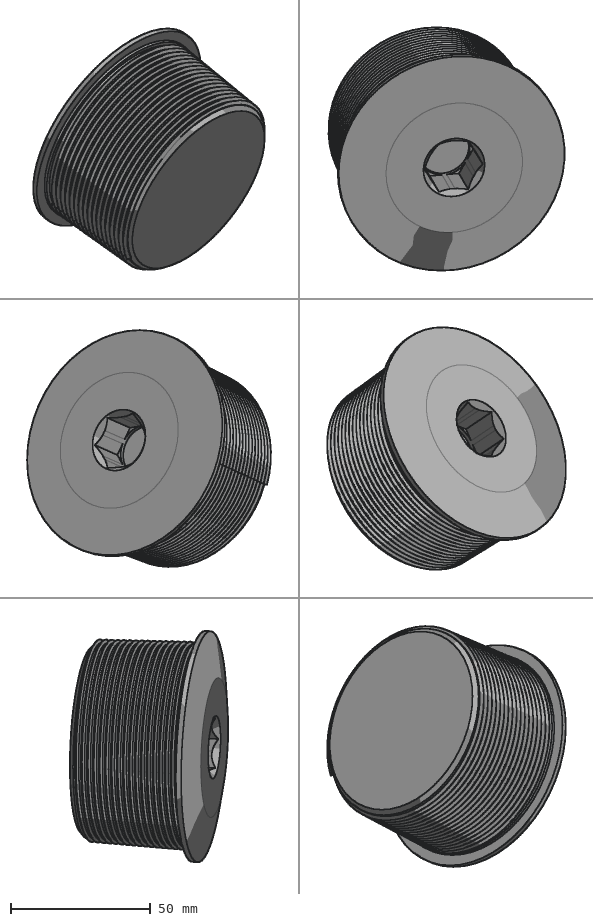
import cadquery as cq
import math

total_length = 46.1
flange_radius = 83 / 2
face_radius = 50.1 / 2
collar_radius = 75.3 / 2
cone_end = 3.7
flange_end = 5.65
collar_end = 6.8

thread_taper = math.atan(1 / 32)
thread_depth = 1.25
ridge_half_angle = math.radians(30)
ridge_embed = 0.25
thread_length = 37.35
thread_turns = 17
thread_pitch = thread_length / thread_turns
thread_end = 44.4
thread_end_angle = 108
root_radius_at_end = 35.1
chamfer_length = 1.5
end_radius = 33.5

hex_across_flats = 18.6
hex_depth = 15.8
drill_radius = 18.7 / 2
drill_depth = 17.4
mouth_radius = 22.5 / 2
mouth_half_angle = math.radians(37)


def root_radius(x):
    """Radius of the tapered thread core at position x."""
    return root_radius_at_end + (thread_end - x) * math.tan(thread_taper)


def make_body():
    chamfer_start = total_length - chamfer_length
    outline = [
        (0, 0),
        (0, face_radius),
        (cone_end, flange_radius),
        (flange_end, flange_radius),
        (flange_end, collar_radius),
        (collar_end, collar_radius),
        (collar_end, root_radius(collar_end)),
        (chamfer_start, root_radius(chamfer_start)),
        (total_length, end_radius),
        (total_length, 0),
    ]
    return cq.Workplane("XY").polyline(outline).close().revolve(360, (0, 0), (1, 0))


def make_thread_turn(first_x):
    """One turn of the ridge, which starts with its crest at first_x and winds toward -X."""
    core_radius = root_radius(first_x)
    base_radius = core_radius - ridge_embed
    half_width = (thread_depth + ridge_embed) * math.tan(ridge_half_angle)

    edges = []
    for radius, offset in (
        (base_radius, -half_width),
        (core_radius + thread_depth, 0),
        (base_radius, half_width),
    ):
        helix = cq.Wire.makeHelix(
            thread_pitch,
            thread_pitch,
            radius,
            angle=math.degrees(thread_taper),
        )
        edges.append(helix.translate(cq.Vector(0, 0, offset)))

    faces = [cq.Face.makeRuledSurface(edges[i], edges[(i + 1) % 3]) for i in range(3)]
    start_corners = [edge.startPoint() for edge in edges]
    end_corners = [edge.endPoint() for edge in edges]
    for corners in (start_corners, end_corners):
        faces.append(cq.Face.makeFromWires(cq.Wire.makePolygon(corners, close=True)))
    ridge = cq.Solid.makeSolid(cq.Shell.makeShell(faces))

    ridge = ridge.rotate(cq.Vector(0, 0, 0), cq.Vector(0, 1, 0), -90)
    ridge = ridge.rotate(cq.Vector(0, 0, 0), cq.Vector(1, 0, 0), thread_end_angle)
    return cq.Workplane(ridge.translate(cq.Vector(first_x, 0, 0)))


def add_thread(body):
    """Join the ridge one turn at a time, from the small end to the collar."""
    for index in range(thread_turns):
        first_x = thread_end - index * thread_pitch
        body = body.union(make_thread_turn(first_x))
    return body


def make_socket():
    hex_circle = hex_across_flats / math.cos(math.pi / 6)
    face = cq.Workplane("YZ")
    hexagon = face.polygon(6, hex_circle).extrude(hex_depth)
    drill = face.circle(drill_radius).extrude(drill_depth)
    mouth_depth = (mouth_radius - drill_radius) / math.tan(mouth_half_angle)
    mouth = (
        cq.Workplane("XY")
        .polyline([(0, 0), (0, mouth_radius), (mouth_depth, drill_radius), (mouth_depth, 0)])
        .close()
        .revolve(360, (0, 0), (1, 0))
    )
    return hexagon.union(drill).union(mouth)


result = add_thread(make_body()).cut(make_socket())